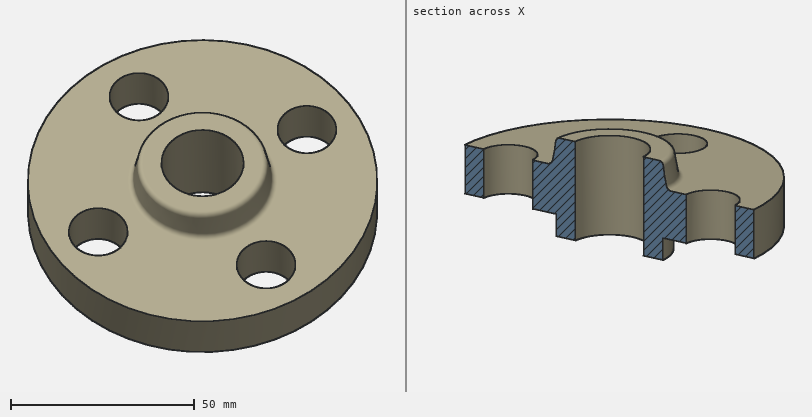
import cadquery as cq
import math

disc_diameter = 95.2
disc_thickness = 14.2

face_diameter = 35.1
face_height = 6.4

hub_base_diameter = 38.1
hub_top_diameter = 35.1
hub_height = 8.1
hub_fillet = 1.5

bore_diameter = 22.4
bolt_hole_diameter = 16.0
bolt_circle_diameter = 66.6
bolt_count = 4


def make_disc():
    return cq.Workplane("XY").circle(disc_diameter / 2).extrude(disc_thickness)


def make_raised_face():
    return cq.Workplane("XY").circle(face_diameter / 2).extrude(-face_height)


def make_hub():
    taper = math.degrees(math.atan2((hub_base_diameter - hub_top_diameter) / 2, hub_height))
    return (
        cq.Workplane("XY", origin=(0, 0, disc_thickness))
        .circle(hub_base_diameter / 2)
        .extrude(hub_height, taper=taper)
    )


def round_hub(body):
    """Round the hub's top rim and blend its root into the disc."""
    reach = (disc_diameter + hub_base_diameter) / 4
    root_box = cq.selectors.BoxSelector(
        (-reach, -reach, disc_thickness - hub_fillet / 2),
        (reach, reach, disc_thickness + hub_fillet / 2),
        boundingbox=True,
    )
    body = body.faces(">Z").edges().fillet(hub_fillet)
    return body.edges(root_box).fillet(hub_fillet)


def cut_bore(body):
    return body.faces(">Z").workplane(origin=(0, 0, 0)).circle(bore_diameter / 2).cutThruAll()


def cut_bolt_holes(body):
    return (
        body.faces(">Z")
        .workplane(origin=(0, 0, 0))
        .polarArray(bolt_circle_diameter / 2, 0, 360, bolt_count)
        .circle(bolt_hole_diameter / 2)
        .cutThruAll()
    )


flange = make_disc().union(make_raised_face()).union(make_hub())
flange = round_hub(flange)
flange = cut_bore(flange)
result = cut_bolt_holes(flange)